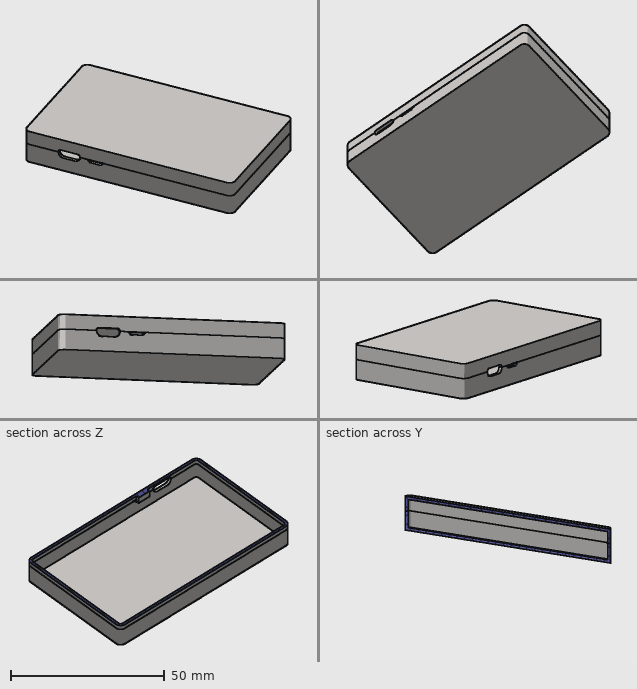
import cadquery as cq

LENGTH = 75.6
WIDTH = 45.3
HEIGHT = 11.8
CORNER_RADIUS = 2.05
WALL = 1.1

LID_HEIGHT = 5.0
SEAM_Z = HEIGHT - LID_HEIGHT

PORT_X = -21.5
PORT_WIDTH = 7.9
PORT_RISE = 1.0
PORT_DROP = 1.9

NOTCH_X = -11.95
NOTCH_TOP_WIDTH = 6.0
NOTCH_FLOOR_WIDTH = 4.0
NOTCH_DEPTH = 1.0

TAB_LEFT_X = NOTCH_X - NOTCH_TOP_WIDTH / 2
TAB_RIGHT_X = NOTCH_X + NOTCH_FLOOR_WIDTH / 2
TAB_THICKNESS = WALL
TAB_DROP = 0.75

FRONT_Y = -WIDTH / 2


def rounded_block(length, width, height, radius, bottom_z):
    """Upright block, centred on X and Y, with rounded vertical edges."""
    return (
        cq.Workplane("XY")
        .workplane(offset=bottom_z)
        .rect(length, width)
        .extrude(height)
        .edges("|Z")
        .fillet(radius)
    )


def outer_block(height, bottom_z):
    return rounded_block(LENGTH, WIDTH, height, CORNER_RADIUS, bottom_z)


def cavity(height, bottom_z):
    """Space inside the walls of one half."""
    return rounded_block(LENGTH - 2 * WALL, WIDTH - 2 * WALL, height, CORNER_RADIUS - WALL, bottom_z)


def port_cutter(radius, end_edges):
    """Bar along Y through the front wall, reaching one radius above and below the seam.

    The corners picked by `end_edges` are rounded so that they end level with the seam.
    """
    return (
        cq.Workplane("XY", origin=(PORT_X, FRONT_Y + WALL / 2, SEAM_Z))
        .box(PORT_WIDTH, WALL, 2 * radius)
        .edges("|Y")
        .edges(end_edges)
        .fillet(radius)
    )


def notch_cutter():
    """Trapezoidal bar through the front wall, widest at the seam."""
    floor_z = SEAM_Z - NOTCH_DEPTH
    return (
        cq.Workplane("XZ", origin=(NOTCH_X, FRONT_Y, 0))
        .moveTo(-NOTCH_TOP_WIDTH / 2, SEAM_Z)
        .lineTo(-NOTCH_FLOOR_WIDTH / 2, floor_z)
        .lineTo(NOTCH_FLOOR_WIDTH / 2, floor_z)
        .lineTo(NOTCH_TOP_WIDTH / 2, SEAM_Z)
        .close()
        .extrude(-WALL)
    )


def tab():
    """Block behind the notch, flat against the inside of the front wall."""
    return (
        cq.Workplane("XY")
        .box(TAB_RIGHT_X - TAB_LEFT_X, TAB_THICKNESS, LID_HEIGHT - WALL + TAB_DROP, centered=False)
        .translate((TAB_LEFT_X, FRONT_Y + WALL, SEAM_Z - TAB_DROP))
    )


def make_base():
    base = outer_block(SEAM_Z, 0).cut(cavity(SEAM_Z - WALL, WALL))
    return base.cut(port_cutter(PORT_DROP, "<Z")).cut(notch_cutter())


def make_lid():
    lid = outer_block(LID_HEIGHT, SEAM_Z).cut(cavity(LID_HEIGHT - WALL, SEAM_Z))
    return lid.cut(port_cutter(PORT_RISE, ">Z")).union(tab())


base = make_base()
lid = make_lid()

result = cq.Compound.makeCompound([base.val(), lid.val()])